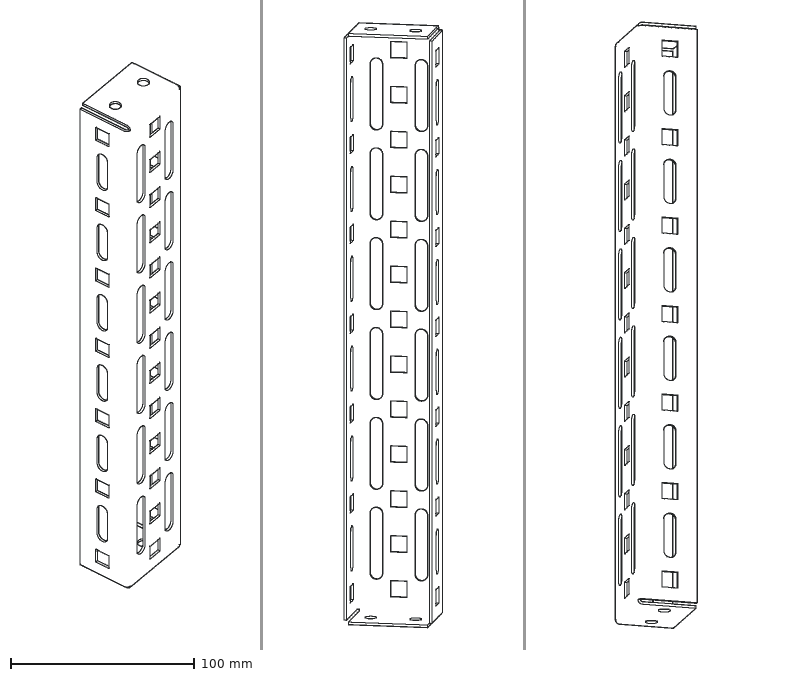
import cadquery as cq

depth = 33.0
width = 49.0
length = 329.0

sheet = 1.5
inner_bend = 1.0
outer_bend = inner_bend + sheet

end_flange_width = width - 2 * outer_bend
side_flange_length = length - 2 * outer_bend

pitch = 50.0
rows = 6
square = 9.0
slot_width = 7.0
side_slot_length = 25.0
web_slot_length = 40.0
web_slot_spacing = 25.0
end_hole_diameter = 6.5
end_hole_spacing = 25.0
side_hole_x = 15.5
end_hole_x = (depth - outer_bend) / 2


def centered_box(size_x, size_y, size_z):
    """Box starting at X = 0 and centred on Y and Z."""
    return cq.Workplane("XY").box(size_x, size_y, size_z, centered=(False, True, True))


def channel(size_y, size_z, bend_edges, inner_y, inner_z):
    """U-shaped sheet open towards -X, with both bends rounded inside and out."""
    outer = centered_box(depth, size_y, size_z).edges(bend_edges + " and >X").fillet(outer_bend)
    inner = centered_box(depth - sheet, inner_y, inner_z).edges(bend_edges + " and >X").fillet(inner_bend)
    return outer.cut(inner)


def line_positions(count, spacing):
    """Positions of evenly spaced items centred on zero."""
    return [(i - (count - 1) / 2) * spacing for i in range(count)]


def folded_sheet():
    """Web with two side flanges and two end flanges."""
    sides = channel(width, side_flange_length, "|Z", width - 2 * sheet, side_flange_length)
    ends = channel(end_flange_width, length, "|Y", end_flange_width, length - 2 * sheet)
    return sides.union(ends)


def side_flange_cuts():
    """Squares alternating with slots, through both side flanges."""
    squares = [(side_hole_x, z) for z in line_positions(rows + 1, pitch)]
    slots = [(side_hole_x, z) for z in line_positions(rows, pitch)]
    plane = cq.Workplane("XZ")
    square_cuts = plane.pushPoints(squares).rect(square, square).extrude(width, both=True)
    slot_cuts = plane.pushPoints(slots).slot2D(side_slot_length, slot_width, 90).extrude(width, both=True)
    return square_cuts.union(slot_cuts)


def web_cuts():
    """Central line of squares at half pitch, with a line of slots on each side."""
    squares = [(0, z) for z in line_positions(2 * rows + 1, pitch / 2)]
    slots = [(y, z) for y in line_positions(2, web_slot_spacing) for z in line_positions(rows, pitch)]
    plane = cq.Workplane("YZ")
    square_cuts = plane.pushPoints(squares).rect(square, square).extrude(2 * depth)
    slot_cuts = plane.pushPoints(slots).slot2D(web_slot_length, slot_width, 90).extrude(2 * depth)
    return square_cuts.union(slot_cuts)


def end_flange_cuts():
    """Two round holes through both end flanges."""
    centers = [(end_hole_x, y) for y in line_positions(2, end_hole_spacing)]
    return cq.Workplane("XY").pushPoints(centers).circle(end_hole_diameter / 2).extrude(length, both=True)


result = folded_sheet().cut(side_flange_cuts()).cut(web_cuts()).cut(end_flange_cuts())